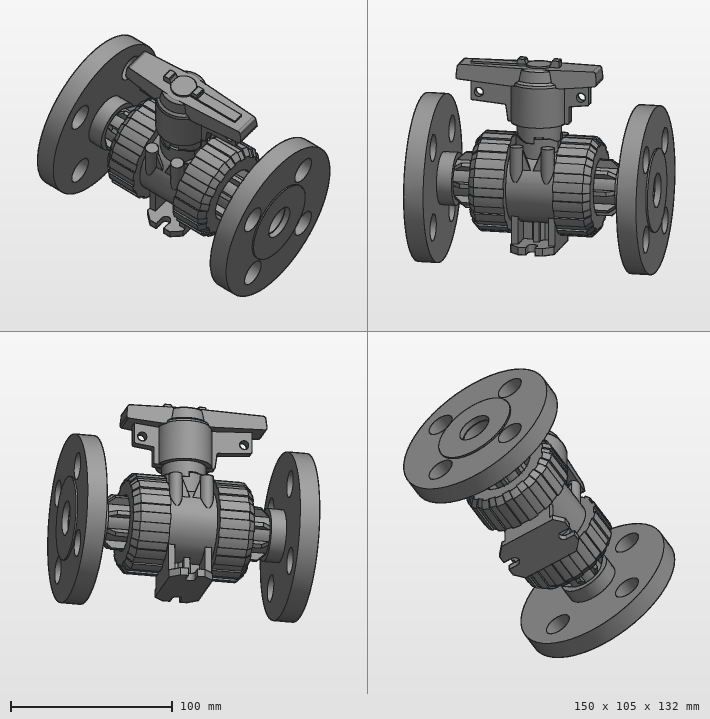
import cadquery as cq
import math


OVERALL_LENGTH = 150.0
END_X = OVERALL_LENGTH / 2

BORE_R = 10.0
PIPE_R = 12.8
RIB_R = 17.5
RIB_COUNT = 8
RIB_THICKNESS = 2.7
RIB_TAPER_LENGTH = 5.4

FLANGE_R = 52.5
FLANGE_THICKNESS = 12.5
RAISED_FACE_R = 26.1
RAISED_FACE_HEIGHT = 1.0
FLANGE_BORE_R = 10.6
HUB_R = 16.5
HUB_LENGTH = 9.6
SOCKET_STOP_DEPTH = 3.9
BOLT_OFFSET = 25.4
BOLT_HOLE_R = 8.4
FLANGE_BACK_X = END_X - RAISED_FACE_HEIGHT - FLANGE_THICKNESS
HUB_BACK_X = FLANGE_BACK_X - HUB_LENGTH

BODY_R = 24.0
BODY_HALF_LENGTH = 30.0
NUT_INNER_X = 15.8
NUT_OUTER_X = 38.5
NUT_R = 31.2
NUT_CHAMFER = 3.9
NUT_LIP = 4.8
NUT_MOUTH_R = math.hypot(RIB_R, RIB_THICKNESS / 2)
GROOVE_DEPTH = 1.2
GROOVE_ANGLE = 10.6
GROOVE_COUNT = 16
COLLAR_X = NUT_OUTER_X - NUT_LIP

NECK_R = 14.7
NECK_FLAT_X = 13.4
SPIGOT_R = 10.5
POST_X = 9.9
POST_Y = 19.2
POST_R = 4.12
POST_TOP_Z = 27.8
GUSSET_THICKNESS = 1.8
GUSSET_TOP_Z = 25.2
GUSSET_GAP = 0.9
SIDE_GUSSET_X = 11.8
SIDE_GUSSET_END_Y = 11.4

CAM_LOW_Z = 28.8
CAM_HIGH_Z = 31.6
CAM_COUNT = 4
CAM_PITCH = 360 / CAM_COUNT
CAM_FLAT_ANGLE = 40.0
CAM_RAMP_ANGLE = 27.0
CAM_GAP_ANGLE = 24.0
CAM_GAP = 0.9
CAM_INNER_R = 9.0

FOOT_X = 13.8
FOOT_TOP_Z = -35.2
FOOT_BOTTOM_Z = -40.0
FOOT_FRONT_Y = 24.0
FOOT_SHOULDER_Y = 18.6
FOOT_FRONT_X = 7.8
FOOT_SLOT_R = 3.0
FOOT_SLOT_Y = 18.0
LEG_WIDTH = 4.2
LEG_Y = 16.4
CROSS_WALL_THICKNESS = 3.0
FOOT_COLUMN_R = 4.2
CENTRE_RIB_WIDTH = 3.6
CENTRE_RIB_Y = 8.5

SKIRT_R = 17.4
SKIRT_BOTTOM_Z = 39.6
SKIRT_TOP_Z = 64.6
CAVITY_R = 15.0
CAVITY_FLOOR = 2.4
COLLAR_R = 13.8
CONE_BASE_R = 15.2
CONE_BASE_Z = 67.5
CONE_TOP_R = 13.8
CONE_ROUND_WIDTH = 2.1
CONE_ROUND_HEIGHT = 0.9
SHOULDER_R = 16.8
SHOULDER_Z = 66.2
SLOT_WIDTH = 8.1

BAR_BOTTOM_Z = 64.0
BAR_TIP_BOTTOM_Z = 66.0
BAR_TOP_Z = 75.3
BAR_LEFT_X = -38.8
BAR_RIGHT_X = 51.5
BAR_LEFT_HALF_WIDTH = 9.5
BAR_RIGHT_HALF_WIDTH = 8.8
BAR_MIDDLE_HALF_WIDTH = 12.2
BAR_DRAFT = 6.0
BAR_TIP_ROUND = 1.8
TIP_TRIM = 0.5
TIP_CHAMFER = 0.9
TIP_LEFT_X = BAR_LEFT_X + TIP_TRIM
TIP_RIGHT_X = BAR_RIGHT_X - TIP_TRIM
WEB_THICKNESS = 6.0
WEB_LEFT_X = -32.1
WEB_RIGHT_X = 42.8
WEB_CORNER_R = 0.9
WEB_HOLE_R = 2.8
WEB_HOLE_INSET = 5.0
WEB_HOLE_Z = 57.0

CAP_R = 8.1
CAP_TOP_Z = 76.5
TAB_TOP_Z = 79.5
TAB_OUTER_X = 13.4
TAB_INNER_TOP_X = 8.5
TAB_CHAMFER = 0.6
TAB_INNER_BOTTOM_X = 7.5
TAB_WIDTH = 6.5
POINTER_WIDTH = 6.9


def box(x0, x1, y0, y1, z0, z1):
    """Box between two opposite corners."""
    return cq.Workplane("XY").box(x1 - x0, y1 - y0, z1 - z0, centered=False).translate((x0, y0, z0))


def x_cylinder(radius, x0, x1):
    """Cylinder on the pipe axis."""
    return cq.Workplane("YZ", origin=(x0, 0, 0)).circle(radius).extrude(x1 - x0)


def z_cylinder(radius, z0, z1, x=0, y=0):
    """Upright cylinder."""
    return cq.Workplane("XY", origin=(x, y, z0)).circle(radius).extrude(z1 - z0)


def plate_xz(points, thickness, y=0):
    """Plate with an outline in X and Z, centred on the given Y."""
    return cq.Workplane("XZ", origin=(0, y, 0)).polyline(points).close().extrude(thickness / 2, both=True)


def plate_yz(points, thickness, x=0):
    """Plate with an outline in Y and Z, centred on the given X."""
    return cq.Workplane("YZ", origin=(x, 0, 0)).polyline(points).close().extrude(thickness / 2, both=True)


def ring_sector(inner_r, outer_r, z0, z1, start, angle):
    """Part of an upright ring, counterclockwise from the start angle (0 is +X)."""
    section = [(inner_r, z0), (outer_r, z0), (outer_r, z1), (inner_r, z1)]
    sector = cq.Workplane("XZ").polyline(section).close().revolve(angle, (0, 0), (0, 1))
    return sector.rotate((0, 0, 0), (0, 0, 1), start)



def make_flange():
    """Bolted flange with raised face, hub and a stepped bore that holds the connector."""
    face_x = END_X - RAISED_FACE_HEIGHT
    flange = x_cylinder(FLANGE_R, FLANGE_BACK_X, face_x)
    flange = flange.union(x_cylinder(RAISED_FACE_R, FLANGE_BACK_X, END_X))
    flange = flange.union(x_cylinder(HUB_R, HUB_BACK_X, FLANGE_BACK_X))
    flange = flange.cut(x_cylinder(FLANGE_BORE_R, HUB_BACK_X, END_X))
    flange = flange.cut(x_cylinder(PIPE_R, HUB_BACK_X, END_X - SOCKET_STOP_DEPTH))
    bolt_holes = (
        cq.Workplane("YZ", origin=(FLANGE_BACK_X, 0, 0))
        .rect(2 * BOLT_OFFSET, 2 * BOLT_OFFSET, forConstruction=True)
        .vertices()
        .circle(BOLT_HOLE_R)
        .extrude(FLANGE_THICKNESS)
    )
    return flange.cut(bolt_holes)


def make_connector():
    """Ribbed pipe that joins the flange to the body, with a collar held by the union nut."""
    connector = x_cylinder(PIPE_R, BODY_HALF_LENGTH, END_X - SOCKET_STOP_DEPTH)
    connector = connector.union(x_cylinder(BODY_R, BODY_HALF_LENGTH, COLLAR_X))
    rib_outline = [
        (COLLAR_X, 0),
        (COLLAR_X, RIB_R),
        (HUB_BACK_X - RIB_TAPER_LENGTH, RIB_R),
        (HUB_BACK_X, PIPE_R),
        (HUB_BACK_X, 0),
    ]
    rib = plate_xz(rib_outline, RIB_THICKNESS)
    for i in range(RIB_COUNT):
        connector = connector.union(rib.rotate((0, 0, 0), (1, 0, 0), i * 360 / RIB_COUNT))
    return connector.cut(x_cylinder(BORE_R, BODY_HALF_LENGTH, END_X))


def nut_profile(radius, inner_r):
    """Half section of the nut with its outer end chamfered."""
    return (
        cq.Workplane("XY")
        .moveTo(NUT_INNER_X, inner_r)
        .lineTo(NUT_INNER_X, radius)
        .lineTo(NUT_OUTER_X - NUT_CHAMFER, radius)
        .lineTo(NUT_OUTER_X, radius - NUT_CHAMFER)
        .lineTo(NUT_OUTER_X, inner_r)
        .close()
    )


def make_nut():
    """Union nut: a chamfered sleeve with raised lands between its grip grooves."""
    nut = nut_profile(NUT_R - GROOVE_DEPTH, NUT_MOUTH_R).revolve(360, (0, 0), (1, 0))
    pitch = 360 / GROOVE_COUNT
    land = nut_profile(NUT_R, BODY_R).revolve(pitch - GROOVE_ANGLE, (0, 0), (1, 0))
    for i in range(GROOVE_COUNT):
        nut = nut.union(land.rotate((0, 0, 0), (1, 0, 0), i * pitch + GROOVE_ANGLE / 2))
    return nut.cut(x_cylinder(BODY_R, NUT_INNER_X, COLLAR_X))



def make_cam_teeth():
    """Four teeth above the low cam level, each falling along a ramp after its flat."""
    ramp_middle = CAM_FLAT_ANGLE + CAM_RAMP_ANGLE / 2
    ramp_half = NECK_R * math.sin(math.radians(CAM_RAMP_ANGLE / 2))
    ramp_outline = [(-ramp_half, CAM_LOW_Z), (ramp_half, CAM_LOW_Z), (-ramp_half, CAM_HIGH_Z)]
    ramp = cq.Workplane("YZ").polyline(ramp_outline).close().extrude(2 * NECK_R)
    ramp = ramp.rotate((0, 0, 0), (0, 0, 1), ramp_middle)
    sector = ring_sector(CAM_INNER_R, NECK_R, CAM_LOW_Z, CAM_HIGH_Z, CAM_FLAT_ANGLE, CAM_RAMP_ANGLE)
    flat = ring_sector(CAM_INNER_R, NECK_R, CAM_LOW_Z, CAM_HIGH_Z, 0, CAM_FLAT_ANGLE)
    tooth = flat.union(sector.intersect(ramp))
    return [tooth.rotate((0, 0, 0), (0, 0, 1), i * CAM_PITCH) for i in range(CAM_COUNT)]


def make_cam_ring(outer_r):
    """Ring above and between the stop teeth, with a small gap over the start of each flat."""
    ring = z_cylinder(outer_r, CAM_LOW_Z, SKIRT_BOTTOM_Z)
    for i, tooth in enumerate(make_cam_teeth()):
        gap_start = i * CAM_PITCH
        gap = ring_sector(SPIGOT_R, outer_r, CAM_HIGH_Z, CAM_HIGH_Z + CAM_GAP, gap_start, CAM_GAP_ANGLE)
        ring = ring.cut(tooth).cut(gap)
    return ring.cut(z_cylinder(SPIGOT_R, CAM_LOW_Z, SKIRT_BOTTOM_Z))



def make_neck():
    """Flat-sided neck with the stop teeth and the spigot that carries the handle."""
    neck = z_cylinder(NECK_R, 0, CAM_HIGH_Z).cut(make_cam_ring(NECK_R))
    for x0, x1 in ((-NECK_R, -NECK_FLAT_X), (NECK_FLAT_X, NECK_R)):
        neck = neck.cut(box(x0, x1, -NECK_R, NECK_R, BODY_R / 2, SKIRT_BOTTOM_Z))
    return neck.union(z_cylinder(SPIGOT_R, 0, SKIRT_BOTTOM_Z))


def make_post():
    """Post at +X +Y with a gusset toward its neighbour and one toward the neck."""
    gusset_foot_z = math.sqrt(BODY_R**2 - (POST_Y + GUSSET_THICKNESS / 2) ** 2)
    side_foot_z = math.sqrt(BODY_R**2 - SIDE_GUSSET_END_Y**2)
    gusset_outline = [
        (POST_X, 0),
        (GUSSET_GAP, 0),
        (GUSSET_GAP, gusset_foot_z),
        (POST_X - POST_R, GUSSET_TOP_Z),
        (POST_X, GUSSET_TOP_Z),
    ]
    side_outline = [
        (POST_Y, 0),
        (SIDE_GUSSET_END_Y, 0),
        (SIDE_GUSSET_END_Y, side_foot_z),
        (POST_Y - POST_R, GUSSET_TOP_Z),
        (POST_Y, GUSSET_TOP_Z),
    ]
    post = z_cylinder(POST_R, 0, POST_TOP_Z, POST_X, POST_Y)
    post = post.union(plate_xz(gusset_outline, GUSSET_THICKNESS, POST_Y))
    return post.union(plate_yz(side_outline, GUSSET_THICKNESS, SIDE_GUSSET_X))


def make_foot():
    """Slotted mounting plate hung from the body by two legs, a cross wall and a column."""
    half_outline = [
        (-FOOT_X, -FOOT_SHOULDER_Y),
        (-FOOT_FRONT_X, -FOOT_FRONT_Y),
        (FOOT_FRONT_X, -FOOT_FRONT_Y),
        (FOOT_X, -FOOT_SHOULDER_Y),
    ]
    outline = half_outline + [(-x, -y) for x, y in half_outline]
    plate_height = FOOT_TOP_Z - FOOT_BOTTOM_Z
    foot = cq.Workplane("XY", origin=(0, 0, FOOT_BOTTOM_Z)).polyline(outline).close().extrude(plate_height)
    for side in (-1, 1):
        slot_y = side * FOOT_SLOT_Y
        edge_y = side * FOOT_FRONT_Y
        foot = foot.cut(z_cylinder(FOOT_SLOT_R, FOOT_BOTTOM_Z, FOOT_TOP_Z, 0, slot_y))
        near_y, far_y = sorted((slot_y, edge_y))
        foot = foot.cut(box(-FOOT_SLOT_R, FOOT_SLOT_R, near_y, far_y, FOOT_BOTTOM_Z, FOOT_TOP_Z))
        leg_x0, leg_x1 = sorted((side * FOOT_X, side * (FOOT_X - LEG_WIDTH)))
        foot = foot.union(box(leg_x0, leg_x1, -LEG_Y, LEG_Y, FOOT_TOP_Z, 0))
    wall_y = CROSS_WALL_THICKNESS / 2
    rib_x = CENTRE_RIB_WIDTH / 2
    foot = foot.union(box(-FOOT_X, FOOT_X, -wall_y, wall_y, FOOT_TOP_Z, 0))
    foot = foot.union(box(-rib_x, rib_x, -CENTRE_RIB_Y, CENTRE_RIB_Y, FOOT_TOP_Z, 0))
    return foot.union(z_cylinder(FOOT_COLUMN_R, FOOT_TOP_Z, 0))


def make_body():
    """Valve body with neck, posts and foot, bored along the pipe axis."""
    body = x_cylinder(BODY_R, -BODY_HALF_LENGTH, BODY_HALF_LENGTH)
    body = body.union(make_neck()).union(make_foot())
    post = make_post()
    other_post = post.mirror("YZ")
    for corner in (post, other_post, post.mirror("XZ"), other_post.mirror("XZ")):
        body = body.union(corner)
    return body.cut(x_cylinder(BORE_R, -BODY_HALF_LENGTH, BODY_HALF_LENGTH))



def make_handle_hub():
    """Slotted hollow skirt under a rounded cone."""
    hub = (
        cq.Workplane("XZ")
        .moveTo(0, BAR_TOP_Z)
        .lineTo(CONE_TOP_R - CONE_ROUND_WIDTH, BAR_TOP_Z)
        .tangentArcPoint((CONE_TOP_R, BAR_TOP_Z - CONE_ROUND_HEIGHT), relative=False)
        .lineTo(CONE_BASE_R, CONE_BASE_Z)
        .lineTo(SHOULDER_R, SHOULDER_Z)
        .lineTo(SKIRT_R, SKIRT_TOP_Z)
        .lineTo(SKIRT_R, SKIRT_BOTTOM_Z)
        .lineTo(0, SKIRT_BOTTOM_Z)
        .close()
        .revolve(360, (0, 0), (0, 1))
    )
    hub = hub.cut(z_cylinder(CAVITY_R, SKIRT_BOTTOM_Z + CAVITY_FLOOR, BAR_BOTTOM_Z))
    slot = box(-SKIRT_R, SKIRT_R, -SLOT_WIDTH / 2, SLOT_WIDTH / 2, SKIRT_BOTTOM_Z, BAR_BOTTOM_Z)
    return hub.cut(slot.cut(z_cylinder(COLLAR_R, SKIRT_BOTTOM_Z, BAR_BOTTOM_Z)))


def make_handle_bar():
    """Tapered lever bar with drafted sides, rounded, chamfered tips and a rising underside."""
    outline = [
        (BAR_LEFT_X, -BAR_LEFT_HALF_WIDTH),
        (0, -BAR_MIDDLE_HALF_WIDTH),
        (BAR_RIGHT_X, -BAR_RIGHT_HALF_WIDTH),
        (BAR_RIGHT_X, BAR_RIGHT_HALF_WIDTH),
        (0, BAR_MIDDLE_HALF_WIDTH),
        (BAR_LEFT_X, BAR_LEFT_HALF_WIDTH),
    ]
    bar = (
        cq.Workplane("XY", origin=(0, 0, BAR_BOTTOM_Z))
        .polyline(outline)
        .close()
        .extrude(BAR_TOP_Z - BAR_BOTTOM_Z, taper=BAR_DRAFT)
    )
    bar = bar.faces(">Z").edges("|Y").fillet(BAR_TIP_ROUND)
    side_outline = [
        (TIP_LEFT_X, BAR_TOP_Z),
        (TIP_LEFT_X, BAR_TIP_BOTTOM_Z + TIP_CHAMFER),
        (TIP_LEFT_X + TIP_CHAMFER, BAR_TIP_BOTTOM_Z),
        (-SKIRT_R, BAR_BOTTOM_Z),
        (SKIRT_R, BAR_BOTTOM_Z),
        (TIP_RIGHT_X - TIP_CHAMFER, BAR_TIP_BOTTOM_Z),
        (TIP_RIGHT_X, BAR_TIP_BOTTOM_Z + TIP_CHAMFER),
        (TIP_RIGHT_X, BAR_TOP_Z),
    ]
    return bar.intersect(plate_xz(side_outline, 4 * BAR_MIDDLE_HALF_WIDTH))


def make_handle_web():
    """Thin plate under the bar, running through the skirt, with a hole near each end."""
    outline = [
        (WEB_LEFT_X, BAR_TIP_BOTTOM_Z),
        (WEB_LEFT_X, 52.2),
        (-19.6, 50.7),
        (-19.6, SKIRT_BOTTOM_Z),
        (19.2, SKIRT_BOTTOM_Z),
        (20.7, 50.1),
        (WEB_RIGHT_X, 51.9),
        (WEB_RIGHT_X, BAR_TIP_BOTTOM_Z),
    ]
    web = plate_xz(outline, WEB_THICKNESS)
    web = web.edges("|Y").edges("<Z or (not >Z)").fillet(WEB_CORNER_R)
    hole_spots = [(WEB_LEFT_X + WEB_HOLE_INSET, WEB_HOLE_Z), (WEB_RIGHT_X - WEB_HOLE_INSET, WEB_HOLE_Z)]
    holes = cq.Workplane("XZ").pushPoints(hole_spots).circle(WEB_HOLE_R).extrude(WEB_THICKNESS, both=True)
    return web.cut(holes)


def make_indicator():
    """Round cap, two tabs beside it and a raised pointer strip along the longer arm."""
    cap = z_cylinder(CAP_R, BAR_BOTTOM_Z, CAP_TOP_Z)
    tab_outline = [
        (TAB_INNER_BOTTOM_X, BAR_BOTTOM_Z),
        (TAB_OUTER_X, BAR_BOTTOM_Z),
        (TAB_OUTER_X, TAB_TOP_Z - TAB_CHAMFER),
        (TAB_OUTER_X - TAB_CHAMFER, TAB_TOP_Z),
        (TAB_INNER_TOP_X + TAB_CHAMFER, TAB_TOP_Z),
        (TAB_INNER_TOP_X, TAB_TOP_Z - TAB_CHAMFER),
        (TAB_INNER_BOTTOM_X, CAP_TOP_Z),
    ]
    tab = plate_xz(tab_outline, TAB_WIDTH)
    half_width = POINTER_WIDTH / 2
    pointer = box(0, WEB_RIGHT_X, -half_width, half_width, BAR_BOTTOM_Z + 3, CAP_TOP_Z)
    return cap.union(tab).union(tab.mirror("YZ")).union(pointer)


def make_handle():
    """Lever handle as one solid."""
    handle = make_handle_hub().union(make_handle_bar()).union(make_handle_web())
    return handle.union(make_indicator()).union(make_cam_ring(COLLAR_R))



body = make_body()
handle = make_handle()

end_bodies = []
for make_end_part in (make_flange, make_connector, make_nut):
    end_part = make_end_part()
    for turned_part in (end_part, end_part.mirror("YZ")):
        end_bodies.append(turned_part.val())

result = cq.Compound.makeCompound([body.val(), handle.val(), *end_bodies])